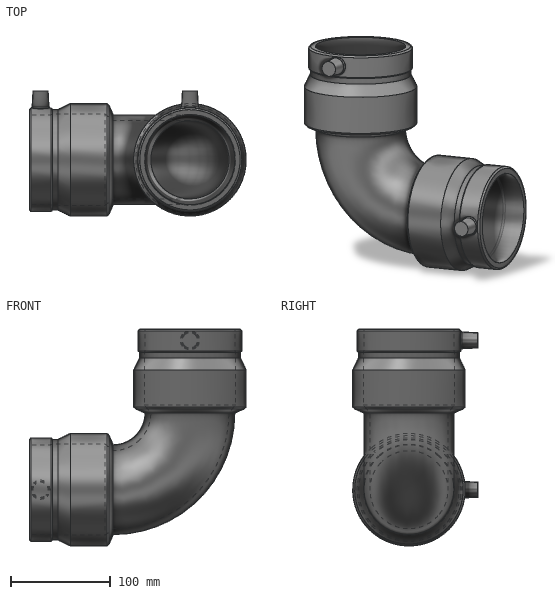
import cadquery as cq

overall_length = 217.5
collar_radius = 113.0 / 2
pipe_radius = 90.0 / 2
pipe_bore_radius = 39.2
socket_length = 84.2
leg_length = overall_length - collar_radius
bend_radius = leg_length - socket_length

rim_radius = 104.0 / 2
groove_radius = 101.0 / 2
rim_chamfer = 1.7
rim_end = 22.0
groove_start = 23.3
groove_end = 29.0
collar_start = 41.1
collar_end = 78.0
collar_edge_end = 80.0
collar_edge_radius = 54.4

mouth_radius = 90.0 / 2
mouth_depth = 20.9
chamber_step = 0.7
chamber_flare_length = 3.0
chamber_radius = mouth_radius + chamber_step
chamber_end = 76.1

stud_position = 11.3
stud_tip = 125.5 - collar_radius
stud_tip_radius = 7.6
stud_foot_radius = 8.5
flare_radius = 9.5
flare_height = 1.5
stud_base = 51.5
stud_root = 47.9


def revolve_about_x(outline):
    """Revolve (place, radius) points around the global X axis."""
    return cq.Workplane("XZ").polyline(outline).close().revolve(360, (0, 0), (1, 0))


def place_on_leg(body):
    """Move a body built from the origin along +X to the horizontal leg's mouth."""
    return body.translate((-leg_length, 0, 0))


def turn_to_upright_leg(body):
    """Turn the -X leg onto the +Z leg, keeping the +Y side in place."""
    return body.rotate((0, 0, 0), (0, 1, 0), 90)


def make_bend(radius):
    """Quarter torus joining the inner ends of the two sockets."""
    return (
        cq.Workplane("YZ", origin=(-bend_radius, 0, 0))
        .circle(radius)
        .revolve(90, (2.2, bend_radius), (-2.2, bend_radius))
    )


def make_socket():
    return place_on_leg(revolve_about_x([
        (0, 0),
        (0, rim_radius - rim_chamfer),
        (rim_chamfer, rim_radius),
        (rim_end, rim_radius),
        (groove_start, groove_radius),
        (groove_end, groove_radius),
        (collar_start, collar_radius),
        (collar_end, collar_radius),
        (collar_edge_end, collar_edge_radius),
        (socket_length, pipe_radius),
        (socket_length, 0),
    ]))


def make_socket_bore():
    return place_on_leg(revolve_about_x([
        (0, 0),
        (0, mouth_radius),
        (mouth_depth, mouth_radius),
        (mouth_depth + chamber_flare_length, chamber_radius),
        (chamber_end, chamber_radius),
        (socket_length, pipe_bore_radius),
        (socket_length, 0),
    ]))


def make_stud():
    """Slightly tapered stud with a flared foot, pointing along +Y."""
    outline = [
        (0, stud_root),
        (flare_radius, stud_root),
        (flare_radius, stud_base),
        (stud_foot_radius, stud_base + flare_height),
        (stud_tip_radius, stud_tip),
        (0, stud_tip),
    ]
    stud = cq.Workplane("XY").polyline(outline).close().revolve(360, (0, 0), (0, 1))
    return place_on_leg(stud.translate((stud_position, 0, 0)))


socket = make_socket()
socket_bore = make_socket_bore()
stud = make_stud()

result = make_bend(pipe_radius)
for feature in (socket, stud):
    result = result.union(feature).union(turn_to_upright_leg(feature))

result = result.cut(make_bend(pipe_bore_radius))
result = result.cut(socket_bore).cut(turn_to_upright_leg(socket_bore))